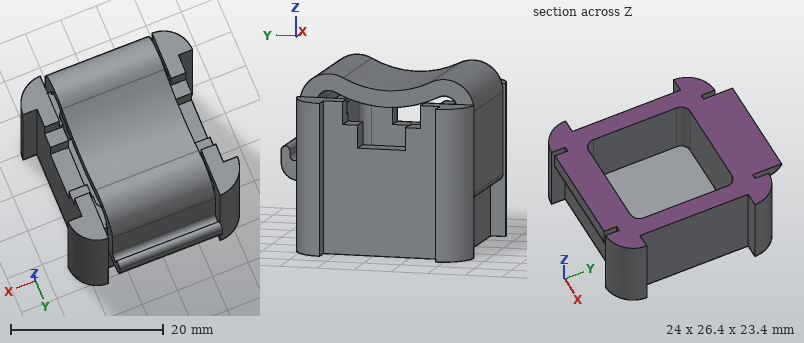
import cadquery as cq
import math

body_width = 23.88
body_height = 20.35
post_radius = 4.07
wall_recess = 1.98
wall_thickness = 2.55
floor_thickness = 2.65
cavity_corner_radius = 1.32
half_body = body_width / 2
wall_width = body_width - 2 * wall_recess
cavity_width = wall_width - 2 * wall_thickness

end_wall_height = 18.35
window_width = 10.52
window_bottom = 17.3
notch_width = 6.47
notch_bottom = 14.27

clip_width = 14.48
clip_span = 23.62
clip_height = 23.43
clip_thickness = 2.22
hump_radius = 4.02
saddle_height = 21.55
leg_bottom = 7.55
leg_end_radius = 0.95

hook_reach = 14.35
hook_bottom = 9.0
hook_top = 13.55
hook_thickness = 2.65
hook_tip_width = 1.2
hook_outer_radius = 2.38

turn_angle = -0.55


def centred_box(width, depth, bottom, top):
    box = cq.Workplane("XY").box(width, depth, top - bottom, centered=(True, True, False))
    return box.translate((0, 0, bottom))


def corner_post(side_x, side_y):
    inner = half_body - post_radius
    diagonal = inner + post_radius * math.sqrt(0.5)
    return (
        cq.Workplane("XY")
        .moveTo(side_x * inner, side_y * inner)
        .lineTo(side_x * half_body, side_y * inner)
        .threePointArc((side_x * diagonal, side_y * diagonal), (side_x * inner, side_y * half_body))
        .close()
        .extrude(body_height)
    )


def make_body():
    body = centred_box(wall_width, wall_width, 0, body_height)
    for side_x in (-1, 1):
        for side_y in (-1, 1):
            body = body.union(corner_post(side_x, side_y))
    cavity = centred_box(cavity_width, cavity_width, floor_thickness, body_height)
    body = body.cut(cavity.edges("|Z").fillet(cavity_corner_radius))
    channel_width = body_width - 2 * post_radius
    body = body.cut(centred_box(channel_width, body_width, end_wall_height, body_height))
    body = body.cut(centred_box(body_width, window_width, window_bottom, body_height))
    return body.cut(centred_box(body_width, notch_width, notch_bottom, body_height))


def extrude_clip(profile):
    return profile.extrude(clip_width / 2, both=True)


def make_clip():
    hump_y = clip_span / 2 - hump_radius
    hump_z = clip_height - hump_radius
    inner_radius = hump_radius - clip_thickness
    rise = saddle_height - hump_z
    saddle_radius = (hump_y**2 + rise**2 - hump_radius**2) / (2 * (hump_radius - rise))
    saddle_z = saddle_height + saddle_radius
    tangent_angle = math.atan2(saddle_z - hump_z, hump_y)
    middle_angle = (tangent_angle + math.pi) / 2

    def on_hump(side, radius, angle):
        return (side * (hump_y - radius * math.cos(angle)), hump_z + radius * math.sin(angle))

    def add_path(profile, side, radius, saddle_low):
        return (
            profile.threePointArc(on_hump(side, radius, middle_angle), on_hump(side, radius, tangent_angle))
            .threePointArc((0, saddle_low), on_hump(-side, radius, tangent_angle))
            .threePointArc(on_hump(-side, radius, middle_angle), on_hump(-side, radius, math.pi))
        )

    leg_outer = clip_span / 2
    leg_inner = leg_outer - clip_thickness
    profile = cq.Workplane("YZ").moveTo(-leg_outer, leg_bottom).lineTo(-leg_outer, hump_z)
    profile = add_path(profile, -1, hump_radius, saddle_height)
    profile = profile.lineTo(leg_outer, hook_bottom).lineTo(leg_inner, hook_bottom).lineTo(leg_inner, hump_z)
    profile = add_path(profile, 1, inner_radius, saddle_height - clip_thickness)
    profile = profile.lineTo(-leg_inner, leg_bottom).close()
    clip = extrude_clip(profile)
    return clip.edges("<Z and <Y").fillet(leg_end_radius)


def make_hook():
    leg_outer = clip_span / 2
    tip_radius = hook_tip_width / 2
    groove_side = hook_reach - hook_tip_width
    groove_radius = (groove_side - leg_outer) / 2
    groove_z = hook_bottom + hook_thickness + groove_radius
    curve_y = hook_reach - hook_outer_radius
    curve_z = hook_bottom + hook_outer_radius
    diagonal = hook_outer_radius * math.sqrt(0.5)
    profile = (
        cq.Workplane("YZ")
        .moveTo(leg_outer - clip_thickness, hook_bottom)
        .lineTo(curve_y, hook_bottom)
        .threePointArc((curve_y + diagonal, curve_z - diagonal), (hook_reach, curve_z))
        .lineTo(hook_reach, hook_top - tip_radius)
        .threePointArc((hook_reach - tip_radius, hook_top), (groove_side, hook_top - tip_radius))
        .lineTo(groove_side, groove_z)
        .threePointArc((groove_side - groove_radius, groove_z - groove_radius), (leg_outer, groove_z))
        .lineTo(leg_outer - clip_thickness, groove_z)
        .close()
    )
    return extrude_clip(profile)


part = make_body().union(make_clip()).union(make_hook())
result = part.rotate((0, 0, 0), (0, 0, 1), turn_angle)